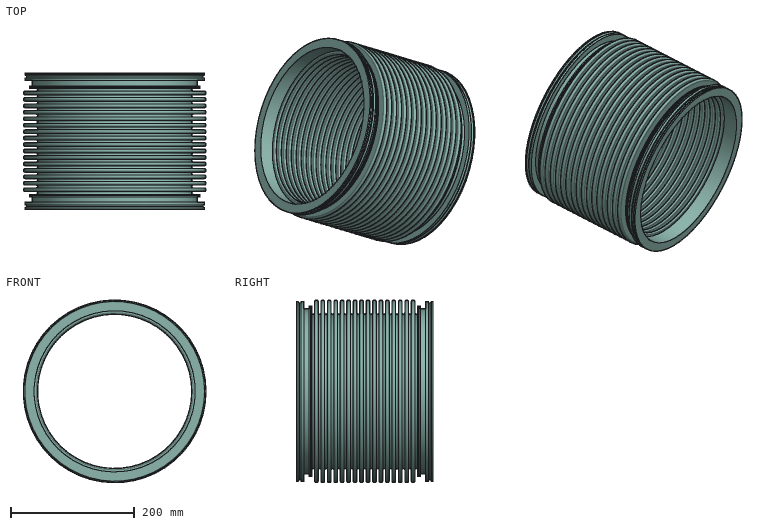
import cadquery as cq
overall_length = 220.4
half_length = overall_length / 2

crest_count = 16
pitch = 10.41
crest_width = 6.2
wall = 0.4
crest_radius = 147.5
bore_radius = 124.2
rim_radius = 137.5

crest_convex_bend = crest_width / 2
crest_hollow_bend = crest_convex_bend - wall
root_hollow_bend = (pitch - crest_width) / 2
root_convex_bend = root_hollow_bend + wall
crest_bend_centre = crest_radius - crest_convex_bend
root_bend_centre = bore_radius + root_convex_bend
first_root_y = -pitch * crest_count / 2
plate_outer_y = -first_root_y + root_convex_bend
plate_inner_y = plate_outer_y - wall

flange_radius = 145.2
flange_bore_radius = 130.0
groove_radius = 142.8
groove_start = 2.5
groove_floor_start = 4.9
groove_end = 7.6
flange_thickness = 12.0
neck_radius = 133.5
lip_start = 20.6
lip_step = 22.8
lip_step_radius = 136.8
lip_end = half_length - plate_outer_y


def revolve_about_y(profile):
    return profile.close().revolve(360, (0, 0, 0), (0, 1, 0))


def trace_folds(profile, direction, root_bend, crest_bend):
    """Follow every root and crest along one skin of the bellows, starting from an end plate."""
    for fold in range(crest_count + 1):
        root_y = direction * (first_root_y + fold * pitch)
        profile = profile.threePointArc(
            (root_bend_centre - root_bend, root_y),
            (root_bend_centre, root_y + direction * root_bend),
        )
        if fold < crest_count:
            crest_y = root_y + direction * pitch / 2
            profile = (
                profile.lineTo(crest_bend_centre, crest_y - direction * crest_bend)
                .threePointArc(
                    (crest_bend_centre + crest_bend, crest_y),
                    (crest_bend_centre, crest_y + direction * crest_bend),
                )
                .lineTo(root_bend_centre, root_y + direction * (pitch - root_bend))
            )
    return profile


def make_bellows():
    profile = (
        cq.Workplane("XY")
        .moveTo(rim_radius, -plate_inner_y)
        .lineTo(root_bend_centre, -plate_inner_y)
    )
    profile = trace_folds(profile, 1, root_hollow_bend, crest_convex_bend)
    profile = (
        profile.lineTo(rim_radius, plate_inner_y)
        .lineTo(rim_radius, plate_outer_y)
        .lineTo(root_bend_centre, plate_outer_y)
    )
    profile = trace_folds(profile, -1, root_convex_bend, crest_hollow_bend)
    profile = profile.lineTo(rim_radius, -plate_outer_y)
    return revolve_about_y(profile)


def make_flange(side):
    def at(radius, distance_from_end):
        return radius, side * (half_length - distance_from_end)

    profile = cq.Workplane("XY").polyline([
        at(flange_bore_radius, 0),
        at(flange_radius, 0),
        at(flange_radius, groove_start),
        at(groove_radius, groove_floor_start),
        at(groove_radius, groove_end),
        at(flange_radius, groove_end),
        at(flange_radius, flange_thickness),
        at(neck_radius, flange_thickness),
        at(neck_radius, lip_start),
        at(rim_radius, lip_start),
        at(rim_radius, lip_step),
        at(lip_step_radius, lip_step),
        at(lip_step_radius, lip_end),
        at(flange_bore_radius, lip_end),
    ])
    return revolve_about_y(profile)


bellows = make_bellows()
flanges = [make_flange(side) for side in (-1, 1)]

result = cq.Compound.makeCompound([bellows.val(), *[flange.val() for flange in flanges]])